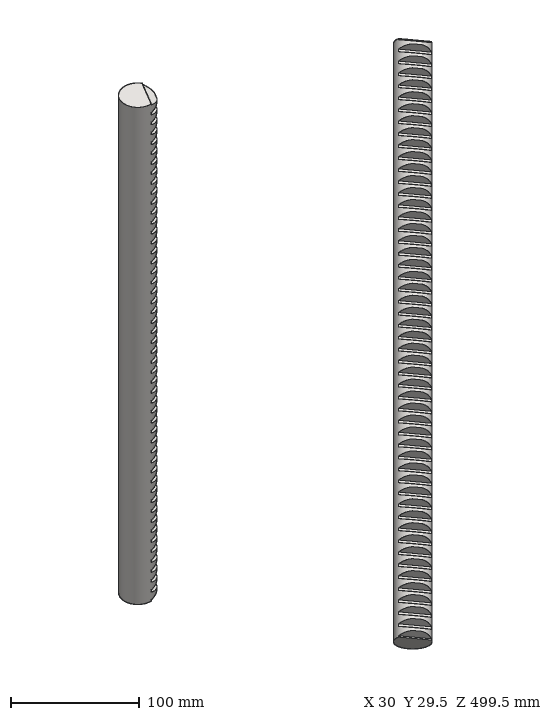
import cadquery as cq
import math

bar_length = 499.5
bar_radius = 15.0
tip_height = 14.5
tooth_count = 50
pressure_angle = math.radians(20)

addendum_factor = 1.0
dedendum_factor = 1.25
pitch = bar_length / tooth_count
module = pitch / math.pi
pitch_line_height = tip_height - addendum_factor * module
root_height = pitch_line_height - dedendum_factor * module


def half_tooth_width(height):
    """Half the tooth thickness along Z at a distance from the bar axis."""
    return pitch / 4 - (height - pitch_line_height) * math.tan(pressure_angle)


def rack_outline():
    """YZ outline of the bar with a half tooth gap at each end."""
    points = [(-bar_radius, -bar_length / 2), (root_height, -bar_length / 2)]
    root_half = half_tooth_width(root_height)
    tip_half = half_tooth_width(tip_height)
    for index in range(tooth_count):
        center = -bar_length / 2 + (index + 0.5) * pitch
        points += [
            (root_height, center - root_half),
            (tip_height, center - tip_half),
            (tip_height, center + tip_half),
            (root_height, center + root_half),
        ]
    points += [(root_height, bar_length / 2), (-bar_radius, bar_length / 2)]
    return cq.Workplane("YZ").polyline(points).close()


bar = cq.Workplane("XY").circle(bar_radius).extrude(bar_length / 2, both=True)
rack = rack_outline().extrude(bar_radius, both=True)

result = bar.intersect(rack)